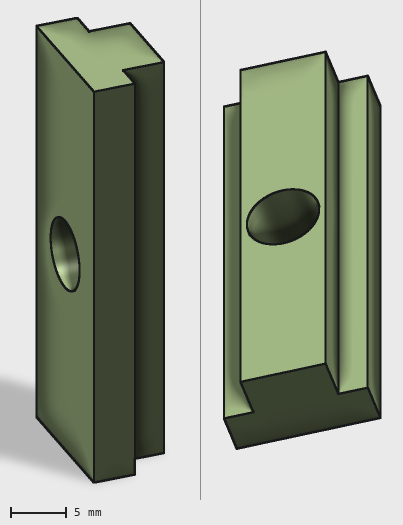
import cadquery as cq

length = 40.0
flange_width = 13.5
depth = 8.0

stem_width = 8.0
flange_thickness = depth / 2
hole_diameter = 6.8


def centred_bar(width, thickness):
    """Bar along Z, centred in X and Z, with its front face at Y = 0."""
    return cq.Workplane("XY").box(width, thickness, length, centered=(True, False, True))


flange = centred_bar(flange_width, flange_thickness)
stem = centred_bar(stem_width, depth)
block = flange.union(stem)

hole = cq.Workplane("XZ").circle(hole_diameter / 2).extrude(-depth)

result = block.cut(hole)